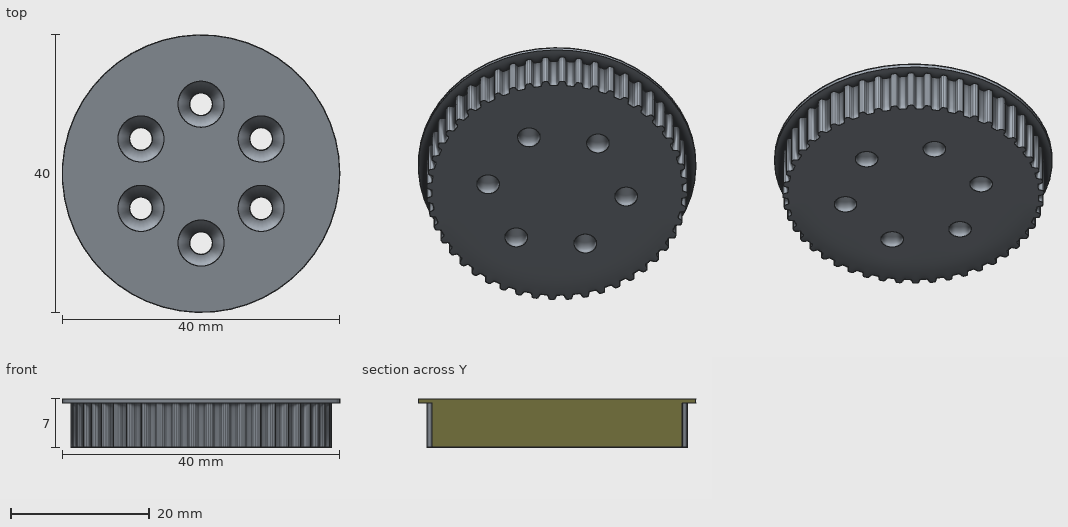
import cadquery as cq
import math

FLANGE_DIAMETER = 40.0
FLANGE_THICKNESS = 0.6
TOTAL_HEIGHT = 7.0

TOOTH_COUNT = 48
TIP_DIAMETER = 37.6
GROOVE_DEPTH = 0.75
GROOVE_FLOOR_WIDTH = 1.05
FLANK_ANGLE = 25.0
TIP_ROUND = 0.3
ROOT_ROUND = 0.2

HOLE_COUNT = 6
HOLE_RING_RADIUS = 10.0
FIRST_HOLE_ANGLE = 90.0
HOLE_DIAMETER = 3.25
SINK_DIAMETER = 6.65
SINK_ANGLE = 90.0

RIM_HEIGHT = TOTAL_HEIGHT - FLANGE_THICKNESS
TIP_RADIUS = TIP_DIAMETER / 2
PITCH_ANGLE = 360.0 / TOOTH_COUNT
FLOOR_X = TIP_RADIUS - GROOVE_DEPTH
FLOOR_HALF_WIDTH = GROOVE_FLOOR_WIDTH / 2

EDGE_TOLERANCE = 0.005


def flank_meets_tip_circle():
    """Point where the upper flank of the groove on +X crosses the tip circle."""
    slope = math.tan(math.radians(FLANK_ANGLE))
    offset = FLOOR_HALF_WIDTH - slope * FLOOR_X
    square_term = 1 + slope**2
    half_linear_term = slope * offset
    root = math.sqrt(half_linear_term**2 - square_term * (offset**2 - TIP_RADIUS**2))
    x = (root - half_linear_term) / square_term
    return x, offset + slope * x


def turn(point, angle):
    """Rotate a point about the part's axis by an angle in degrees."""
    radians = math.radians(angle)
    x, y = point
    return (
        x * math.cos(radians) - y * math.sin(radians),
        x * math.sin(radians) + y * math.cos(radians),
    )


def round_upright_edges(body, radius, round_size):
    """Round the upright edges that stand at the given distance from the part's axis."""
    edges = [
        edge
        for edge in body.edges("|Z").vals()
        if abs(math.hypot(edge.Center().x, edge.Center().y) - radius) < EDGE_TOLERANCE
    ]
    return body.newObject(edges).fillet(round_size)


def make_rim():
    """Toothed rim under the flange, with rounded tooth tips and groove roots."""
    mouth_x, mouth_y = flank_meets_tip_circle()
    outline = cq.Workplane("XY").moveTo(mouth_x, -mouth_y)
    for tooth in range(TOOTH_COUNT):
        angle = tooth * PITCH_ANGLE
        roots = [turn((FLOOR_X, side * FLOOR_HALF_WIDTH), angle) for side in (-1, 1)]
        groove_end = turn((mouth_x, mouth_y), angle)
        tip_middle = turn((TIP_RADIUS, 0), angle + PITCH_ANGLE / 2)
        next_groove_start = turn((mouth_x, -mouth_y), angle + PITCH_ANGLE)
        for point in roots + [groove_end]:
            outline = outline.lineTo(*point)
        outline = outline.threePointArc(tip_middle, next_groove_start)
    rim = outline.close().extrude(RIM_HEIGHT)

    rim = round_upright_edges(rim, TIP_RADIUS, TIP_ROUND)
    return round_upright_edges(rim, math.hypot(FLOOR_X, FLOOR_HALF_WIDTH), ROOT_ROUND)


def make_flange():
    """Plain round flange on top of the rim."""
    return (
        cq.Workplane("XY")
        .workplane(offset=RIM_HEIGHT)
        .circle(FLANGE_DIAMETER / 2)
        .extrude(FLANGE_THICKNESS)
    )


def drill_screw_holes(body):
    """Through holes countersunk from the top, the first one on +Y."""
    return (
        body.faces(">Z")
        .workplane(origin=(0, 0, TOTAL_HEIGHT))
        .polarArray(HOLE_RING_RADIUS, FIRST_HOLE_ANGLE, 360, HOLE_COUNT)
        .cskHole(HOLE_DIAMETER, SINK_DIAMETER, SINK_ANGLE)
    )


result = drill_screw_holes(make_rim().union(make_flange()))